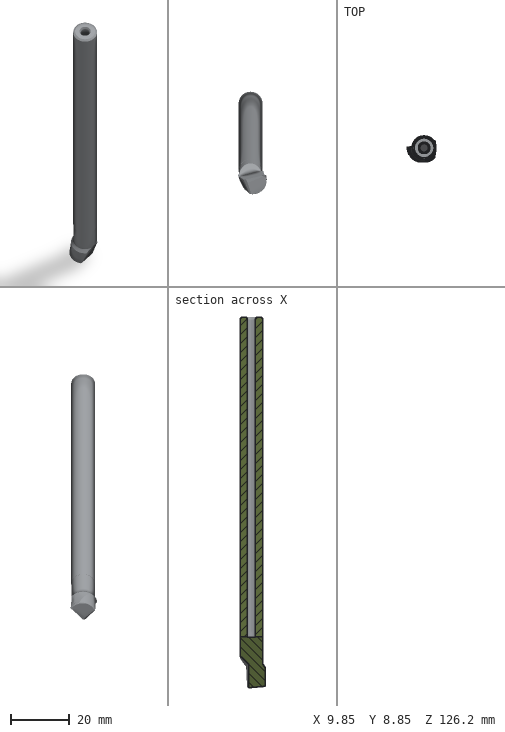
import cadquery as cq
import math

total_length = 126.2
shank_dia = 8.1
joint_z = 17.7
chamfer_height = 0.5
chamfer_width = 0.6
bore_dia = 3.0
bore_mouth_dia = 3.8
bore_mouth_depth = 0.8

neck_dia = 8.0
collar_top_z = 8.6
collar_bottom_z = 7.3
end_radius = 4.8
end_floor_z = 0.4
outer_lean = 0.5
outer_floor_radius = 6.3
lower_offset = 0.8
inner_edge_x = 3.5
inner_slope = 0.25
end_chamfer = 0.5
inner_chamfer_height = 0.8
inner_chamfer_width = 0.9
floor_relief_angle = 5.0

rake_angle = 10.0
slope_turn = 20.0
slope_angle = 45.0
slope_axis_z = 7.2

tip_x = -5.8
tip_y = 0.1
tip_length = 1.9
tip_depth = 2.3
tip_height = 1.5
tip_rear_setback = 0.6

cutter_size = 50.5


def make_shank():
    shank_length = total_length - joint_z
    shank = cq.Workplane("XY").workplane(offset=joint_z).circle(shank_dia / 2).extrude(shank_length)
    shank = shank.faces(">Z").chamfer(chamfer_height, chamfer_width)
    bore = cq.Workplane("XY").workplane(offset=joint_z).circle(bore_dia / 2).extrude(shank_length)
    mouth = (
        cq.Workplane("XY").workplane(offset=total_length).circle(bore_mouth_dia / 2)
        .workplane(offset=-bore_mouth_depth).circle(bore_dia / 2).loft()
    )
    return shank.cut(bore).cut(mouth)


def make_column(top_x, top_radius, floor_x, floor_radius):
    """Column lofted between a circle at the collar and a circle at the floor of the head."""
    return (
        cq.Workplane("XY").workplane(offset=collar_bottom_z).center(top_x, 0).circle(top_radius)
        .workplane(offset=end_floor_z - collar_bottom_z).center(floor_x - top_x, 0).circle(floor_radius).loft()
    )


def inner_side_x(z):
    """X of the leaning +X side of the head at height z."""
    return inner_edge_x + inner_slope * (z - collar_bottom_z)


def make_cutting_end():
    outer_floor_x = outer_floor_radius - end_radius - outer_lean
    outer_flank = make_column(0, end_radius, outer_floor_x, outer_floor_radius)
    lower_flank = make_column(-lower_offset, end_radius, -lower_offset, end_radius)
    end = outer_flank.intersect(lower_flank.faces("<Z").chamfer(end_chamfer))
    relief = (
        cq.Workplane("XY").box(cutter_size, cutter_size, cutter_size, centered=(True, True, False))
        .translate((0, 0, -cutter_size))
        .rotate((0, 0, 0), (1, 0, 0), -floor_relief_angle)
        .translate((0, 0, end_floor_z))
    )
    return end.cut(relief)


def make_neck():
    neck_length = joint_z - collar_bottom_z
    neck = cq.Workplane("XY").workplane(offset=collar_bottom_z).circle(neck_dia / 2).extrude(neck_length)
    collar = (
        cq.Workplane("XY").workplane(offset=collar_top_z).circle(neck_dia / 2)
        .workplane(offset=collar_bottom_z - collar_top_z).circle(end_radius).loft()
    )
    return neck.union(collar)


def make_inner_relief():
    """Space beyond the sloping plane that trims the head on its +X side."""
    far_x = cutter_size / 2
    chamfer_top_z = end_floor_z + inner_chamfer_height
    chamfer_top_x = inner_side_x(chamfer_top_z)
    chamfer_floor_x = chamfer_top_x - inner_chamfer_width
    profile = [
        (chamfer_floor_x, end_floor_z),
        (far_x, end_floor_z),
        (far_x, joint_z),
        (inner_side_x(joint_z), joint_z),
        (chamfer_top_x, chamfer_top_z),
    ]
    return cq.Workplane("XZ").polyline(profile).close().extrude(cutter_size / 2, both=True)


def make_chip_pocket():
    above_rake_face = (
        cq.Workplane("XY").box(cutter_size, cutter_size, cutter_size, centered=(True, False, True))
        .rotate((0, 0, 0), (0, 0, 1), rake_angle)
        .translate((tip_x, tip_y, 0))
    )
    below_slope = (
        cq.Workplane("XY").box(cutter_size, cutter_size, cutter_size, centered=(True, True, False))
        .translate((0, 0, -cutter_size))
        .rotate((0, 0, 0), (1, 0, 0), slope_angle)
        .rotate((0, 0, 0), (0, 0, 1), slope_turn)
        .translate((0, 0, slope_axis_z))
    )
    return above_rake_face.intersect(below_slope)


def make_tip():
    """Pyramid running from the cutting point back into the head."""
    root = cq.Vector(tip_x + tip_length, tip_y, tip_height)
    point = cq.Vector(tip_x, tip_y, 0)
    heel = cq.Vector(tip_x + tip_length, tip_y, end_floor_z)
    rear = cq.Vector(tip_x + tip_rear_setback, tip_y - tip_depth, tip_height)
    rake_rise = tip_length * math.tan(math.radians(rake_angle))
    root = root + cq.Vector(0, rake_rise, 0)
    heel = heel + cq.Vector(0, rake_rise, 0)
    corners = [(point, root, heel), (point, root, rear), (point, heel, rear), (root, heel, rear)]
    faces = [cq.Face.makeFromWires(cq.Wire.makePolygon(c, close=True)) for c in corners]
    return cq.Workplane(obj=cq.Solid.makeSolid(cq.Shell.makeShell(faces)))


def make_head():
    head = make_neck().union(make_cutting_end()).cut(make_inner_relief())
    return head.cut(make_chip_pocket()).union(make_tip())


shank = make_shank()
head = make_head()
result = cq.Compound.makeCompound([shank.val(), *head.solids().vals()])